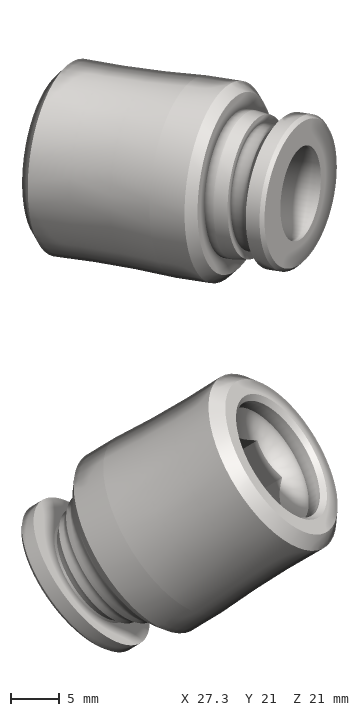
import cadquery as cq
import math

length = 27.3
front_chamfer_end = 1.2
grip_end = 15.05
body_chamfer_start = 19.0
body_end = 20.0
collar_taper_start = 21.0
collar_end = 22.5
step_end = 24.13
flange_start = 25.35
flange_chamfer = 0.38

body_radius = 10.5
body_chamfer = body_end - body_chamfer_start
front_face_radius = 9.0
grip_front_radius = 10.26
grip_waist_radius = 10.2
collar_radius = 7.75
collar_end_radius = 7.53
step_radius = 6.7
neck_radius = 5.8
neck_flare = 0.2

flange_half_width = 9.3
flange_half_height = 8.05

mouth_radius = 7.3
socket_radius = 6.77
mouth_chamfer = mouth_radius - socket_radius
socket_depth = 2.0
socket_cone_half_angle = 60.0
socket_cone_depth = socket_radius / math.tan(math.radians(socket_cone_half_angle))
hex_across_flats = 8.0
hex_end = 7.78
tube_bore_radius = 5.0


def revolve_about_x(outline):
    """Close a half profile and turn it fully around the X axis."""
    return outline.close().revolve(360, (0, 0, 0), (1, 0, 0))


def make_body():
    """Turned body with a slightly waisted grip, stepped down to the neck."""
    grip_middle = (front_chamfer_end + grip_end) / 2
    outline = (
        cq.Workplane("XY")
        .lineTo(0, front_face_radius)
        .lineTo(front_chamfer_end, grip_front_radius)
        .threePointArc((grip_middle, grip_waist_radius), (grip_end, body_radius))
        .lineTo(body_chamfer_start, body_radius)
        .lineTo(body_end, body_radius - body_chamfer)
        .lineTo(body_end, collar_radius)
        .lineTo(collar_taper_start, collar_radius)
        .lineTo(collar_end, collar_end_radius)
        .lineTo(collar_end, step_radius)
        .lineTo(step_end, step_radius)
        .lineTo(step_end, neck_radius)
        .lineTo(flange_start - neck_flare, neck_radius)
        .lineTo(flange_start, neck_radius + neck_flare)
        .lineTo(flange_start, 0)
    )
    return revolve_about_x(outline)


def make_flange():
    """Oval release flange with a chamfered outer rim."""
    return (
        cq.Workplane("YZ", origin=(flange_start, 0, 0))
        .ellipse(flange_half_width, flange_half_height)
        .extrude(length - flange_start)
        .faces(">X")
        .chamfer(flange_chamfer)
    )


def make_socket():
    """Round socket in the front face with a chamfered mouth and conical floor."""
    outline = (
        cq.Workplane("XY")
        .lineTo(0, mouth_radius)
        .lineTo(mouth_chamfer, socket_radius)
        .lineTo(socket_depth, socket_radius)
        .lineTo(socket_depth + socket_cone_depth, 0)
    )
    return revolve_about_x(outline)


def make_hex_bore():
    """Hexagon key bore with corners at the top and bottom."""
    across_corners = hex_across_flats / math.cos(math.pi / 6)
    return (
        cq.Workplane("YZ")
        .transformed(rotate=(0, 0, 90))
        .polygon(6, across_corners)
        .extrude(hex_end)
    )


def make_tube_bore():
    """Round bore from the rear end to the hexagon."""
    return (
        cq.Workplane("YZ", origin=(hex_end, 0, 0))
        .circle(tube_bore_radius)
        .extrude(length - hex_end)
    )


result = (
    make_body()
    .union(make_flange())
    .cut(make_socket())
    .cut(make_hex_bore())
    .cut(make_tube_bore())
)